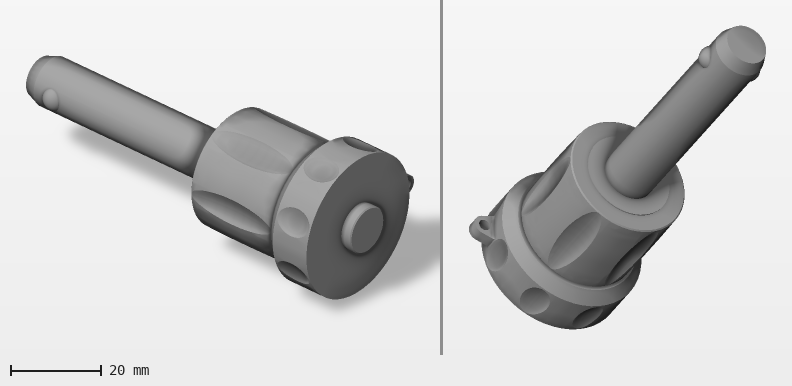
import cadquery as cq
import math


OVERALL_LENGTH = 95.1
COLLAR_START = 55.6
GRIP_START = 55.9
GRIP_END = 79.6
HEAD_START = 79.9
HEAD_RIM_START = 82.5
HEAD_END = 92.3

SHANK_RADIUS = 6.0
TIP_RADIUS = 4.85
TIP_LENGTH = 3.2
BALL_RADIUS = 2.8
BALL_STATION = 8.2
BALL_REACH = 7.3

COLLAR_RADIUS = 10.1
GRIP_END_RADIUS = 14.2
GRIP_MID_RADIUS = 14.4
GRIP_CHAMFER = 0.3
NECK_RADIUS = 13.5
GRIP_SCALLOP_COUNT = 6
GRIP_SCALLOP_LENGTH = 23.2
GRIP_SCALLOP_WIDTH = 6.5
GRIP_SCALLOP_DEPTH = 1.5

HEAD_RADIUS = 17.3
HEAD_FACE_RADIUS = 14.7
HEAD_SCALLOP_COUNT = 8
HEAD_SCALLOP_LENGTH = 9.0
HEAD_SCALLOP_WIDTH = 6.4
HEAD_SCALLOP_DEPTH = 1.2
BUTTON_RADIUS = 5.6
BUTTON_CHAMFER = 0.3

TAB_START = 86.8
TAB_THICKNESS = 2.95
TAB_REACH = 21.8
TAB_EYE_RADIUS = 2.4
TAB_HOLE_RADIUS = 1.3
TAB_FLARE_ANGLE = 16.0
TAB_ROOT_DEPTH = 0.95
TAB_BASE_FILLET = 0.5


def turned_body():
    """Shank, barrel-shaped grip, head and button as one revolved profile."""
    grip_middle = (GRIP_START + GRIP_END) / 2
    return (
        cq.Workplane("XY")
        .moveTo(0, 0)
        .lineTo(0, TIP_RADIUS)
        .lineTo(TIP_LENGTH, SHANK_RADIUS)
        .lineTo(COLLAR_START, SHANK_RADIUS)
        .lineTo(COLLAR_START, COLLAR_RADIUS)
        .lineTo(GRIP_START, COLLAR_RADIUS)
        .lineTo(GRIP_START, GRIP_END_RADIUS - GRIP_CHAMFER)
        .lineTo(GRIP_START + GRIP_CHAMFER, GRIP_END_RADIUS)
        .threePointArc((grip_middle, GRIP_MID_RADIUS), (GRIP_END - GRIP_CHAMFER, GRIP_END_RADIUS))
        .lineTo(GRIP_END, GRIP_END_RADIUS - GRIP_CHAMFER)
        .lineTo(GRIP_END, NECK_RADIUS)
        .lineTo(HEAD_START, NECK_RADIUS)
        .lineTo(HEAD_START, HEAD_FACE_RADIUS)
        .lineTo(HEAD_RIM_START, HEAD_RADIUS)
        .lineTo(HEAD_END, HEAD_RADIUS)
        .lineTo(HEAD_END, BUTTON_RADIUS)
        .lineTo(OVERALL_LENGTH - BUTTON_CHAMFER, BUTTON_RADIUS)
        .lineTo(OVERALL_LENGTH, BUTTON_RADIUS - BUTTON_CHAMFER)
        .lineTo(OVERALL_LENGTH, 0)
        .close()
        .revolve(360, (0, 0, 0), (1, 0, 0))
    )


def locking_balls():
    """Two balls standing out of the shank on opposite sides along Y."""
    offset = BALL_REACH - BALL_RADIUS
    return (
        cq.Workplane("XY")
        .pushPoints([(BALL_STATION, offset), (BALL_STATION, -offset)])
        .sphere(BALL_RADIUS)
    )


def scallop_cutter(middle, surface_radius, end_radius, length, width, depth):
    """Spindle above the +Z side whose belly sinks by depth and whose flanks leave at the ends."""
    half_width = width / 2
    edge_drop = surface_radius - math.sqrt(surface_radius**2 - half_width**2)
    chord_depth = depth - edge_drop
    belly_radius = (half_width**2 + chord_depth**2) / (2 * chord_depth)
    axis_height = surface_radius - depth + belly_radius
    return (
        cq.Workplane("XZ")
        .moveTo(middle - length / 2, axis_height)
        .lineTo(middle - length / 2, end_radius)
        .threePointArc((middle, axis_height - belly_radius), (middle + length / 2, end_radius))
        .lineTo(middle + length / 2, axis_height)
        .close()
        .revolve(360, (0, axis_height, 0), (1, axis_height, 0))
    )


def cut_around(body, cutter, count, first_angle):
    """Cut evenly spaced copies of the cutter around the X axis."""
    for index in range(count):
        angle = first_angle + index * 360 / count
        body = body.cut(cutter.rotate((0, 0, 0), (1, 0, 0), angle))
    return body


def tab_plate(start, thickness):
    """Plate with a rounded eye and straight flanks, tangent to the eye, that widen into the head."""
    flare = math.radians(TAB_FLARE_ANGLE)
    eye_y = TAB_REACH - TAB_EYE_RADIUS
    tangent_y = eye_y + TAB_EYE_RADIUS * math.sin(flare)
    tangent_z = TAB_EYE_RADIUS * math.cos(flare)
    root_y = HEAD_RADIUS - TAB_ROOT_DEPTH
    root_z = tangent_z + (tangent_y - root_y) * math.tan(flare)
    return (
        cq.Workplane("YZ", origin=(start, 0, 0))
        .moveTo(tangent_y, tangent_z)
        .threePointArc((TAB_REACH, 0), (tangent_y, -tangent_z))
        .lineTo(root_y, -root_z)
        .lineTo(root_y, root_z)
        .close()
        .extrude(thickness)
    )


def lanyard_tab():
    """Tab plate with small fillets where its flat faces meet the rim of the head."""
    tab_end = TAB_START + TAB_THICKNESS
    fillet_top = HEAD_RADIUS + TAB_BASE_FILLET
    fillet_sag = TAB_BASE_FILLET * (1 - math.sqrt(0.5))
    fillet_ring = (
        cq.Workplane("XY")
        .moveTo(TAB_START - TAB_BASE_FILLET, HEAD_RADIUS)
        .threePointArc((TAB_START - fillet_sag, HEAD_RADIUS + fillet_sag), (TAB_START, fillet_top))
        .lineTo(tab_end, fillet_top)
        .threePointArc(
            (tab_end + fillet_sag, HEAD_RADIUS + fillet_sag),
            (tab_end + TAB_BASE_FILLET, HEAD_RADIUS),
        )
        .close()
        .revolve(360, (0, 0, 0), (1, 0, 0))
    )
    wide_plate = tab_plate(TAB_START - TAB_BASE_FILLET, TAB_THICKNESS + 2 * TAB_BASE_FILLET)
    return tab_plate(TAB_START, TAB_THICKNESS).union(wide_plate.intersect(fillet_ring))


grip_cutter = scallop_cutter(
    (GRIP_START + GRIP_END) / 2,
    GRIP_MID_RADIUS,
    GRIP_END_RADIUS,
    GRIP_SCALLOP_LENGTH,
    GRIP_SCALLOP_WIDTH,
    GRIP_SCALLOP_DEPTH,
)
head_cutter = scallop_cutter(
    (HEAD_RIM_START + HEAD_END) / 2,
    HEAD_RADIUS,
    HEAD_RADIUS,
    HEAD_SCALLOP_LENGTH,
    HEAD_SCALLOP_WIDTH,
    HEAD_SCALLOP_DEPTH,
)

pin = turned_body().union(locking_balls())
pin = cut_around(pin, grip_cutter, GRIP_SCALLOP_COUNT, 180 / GRIP_SCALLOP_COUNT)
pin = cut_around(pin, head_cutter, HEAD_SCALLOP_COUNT, 180 / HEAD_SCALLOP_COUNT)
pin = pin.union(lanyard_tab())

eye_hole = (
    cq.Workplane("YZ", origin=(TAB_START, TAB_REACH - TAB_EYE_RADIUS, 0))
    .circle(TAB_HOLE_RADIUS)
    .extrude(TAB_THICKNESS)
)
result = pin.cut(eye_hole)